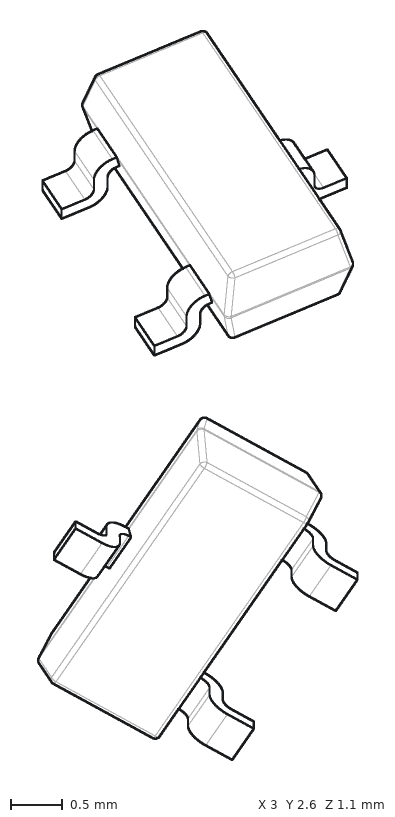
import cadquery as cq
import math

HOUSING_LENGTH = 3.0
HOUSING_WIDTH = 1.4
HOUSING_HEIGHT = 1.0
SIDE_TAPER = 0.1
EDGE_RADIUS = 0.05

LEAD_SPAN = 2.6
LEAD_WIDTH = 0.4
LEAD_THICKNESS = 0.15
LEAD_HEIGHT = 0.6
LEAD_PITCH = 1.9
FOOT_REACH = 0.35
INNER_BEND_RADIUS = 0.1
OUTER_BEND_RADIUS = 0.2

PARTING_Z = LEAD_HEIGHT
HALF_HEIGHT = HOUSING_HEIGHT / 2

DRAFT_ANGLE = math.atan2(SIDE_TAPER, HALF_HEIGHT)
ROUNDING_LOSS = EDGE_RADIUS * (1 / math.cos(DRAFT_ANGLE) - 1)


def make_housing_half(direction):
    """Tapered half of the housing, above (+1) or below (-1) the parting line."""
    sharp_length = HOUSING_LENGTH + 2 * ROUNDING_LOSS
    sharp_width = HOUSING_WIDTH + 2 * ROUNDING_LOSS
    return (
        cq.Workplane("XY", origin=(0, 0, PARTING_Z))
        .rect(sharp_length, sharp_width)
        .workplane(offset=direction * HALF_HEIGHT)
        .rect(sharp_length - 2 * SIDE_TAPER, sharp_width - 2 * SIDE_TAPER)
        .loft(ruled=True)
    )


def make_housing():
    """Double-tapered housing with every edge rounded."""
    return make_housing_half(1).union(make_housing_half(-1)).edges().fillet(EDGE_RADIUS)


def make_lead_blank(x_position):
    """S-bent strip on the front (-Y) side, its shoulder running on into the housing."""
    tip_y = -LEAD_SPAN / 2
    upright_outer_y = tip_y + FOOT_REACH
    upright_inner_y = upright_outer_y + LEAD_THICKNESS
    shoulder_end_y = -HOUSING_WIDTH / 2 + SIDE_TAPER
    shoulder_underside_z = LEAD_HEIGHT - LEAD_THICKNESS
    corner_points = [
        (tip_y, 0),
        (upright_inner_y, 0),
        (upright_inner_y, shoulder_underside_z),
        (shoulder_end_y, shoulder_underside_z),
        (shoulder_end_y, LEAD_HEIGHT),
        (upright_outer_y, LEAD_HEIGHT),
        (upright_outer_y, LEAD_THICKNESS),
        (tip_y, LEAD_THICKNESS),
    ]
    strip = (
        cq.Workplane("YZ", origin=(x_position, 0, 0))
        .polyline(corner_points)
        .close()
        .extrude(LEAD_WIDTH / 2, both=True)
    )
    outer_bends = [(upright_inner_y, 0), (upright_outer_y, LEAD_HEIGHT)]
    inner_bends = [(upright_inner_y, shoulder_underside_z), (upright_outer_y, LEAD_THICKNESS)]
    for bends, radius in ((outer_bends, OUTER_BEND_RADIUS), (inner_bends, INNER_BEND_RADIUS)):
        for y, z in bends:
            strip = strip.edges(cq.selectors.NearestToPointSelector((x_position, y, z))).fillet(radius)
    return strip


housing = make_housing()

lead_blanks = [make_lead_blank(x) for x in (-LEAD_PITCH / 2, LEAD_PITCH / 2)]
lead_blanks.append(make_lead_blank(0).rotate((0, 0, 0), (0, 0, 1), 180))

leads = [blank.cut(housing) for blank in lead_blanks]

result = cq.Compound.makeCompound([housing.val(), *[lead.val() for lead in leads]])